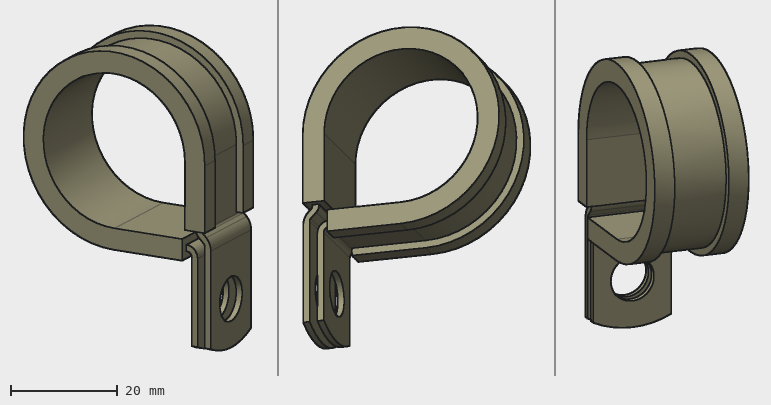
import cadquery as cq
import math

loop_radius = 19.35
cushion_thickness = 4.25
cushion_width = 18.95
upright_end_z = -13.25
floor_end_x = 14.5

strap_radius = 17.9
strap_thickness = 1.25
strap_width = 15.7
groove_width = 10.9

total_height = 57.35
tab_bottom_z = loop_radius - total_height
outer_tab_face_x = 19.75
jog_start_z = -13.75
jog_inside_radius = 0.7
jog_upper_radius = 1.7
jog_lower_radius = 3.45
inner_tab_face_x = 16.9
inner_bend_radius = 1.05
tab_end_rise = 1.8
hole_diameter = 8.65
hole_height = 9.5


def extrude_centred(profile, width):
    """Extrude an XZ profile equally to both sides of the XZ plane."""
    return profile.extrude(width / 2, both=True)


def open_loop(outer, inner, width):
    """Three-quarter ring with a straight vertical leg and a straight floor."""
    diagonal = math.sqrt(0.5)
    profile = (
        cq.Workplane("XZ")
        .moveTo(outer, upright_end_z)
        .lineTo(outer, 0)
        .threePointArc((-outer * diagonal, outer * diagonal), (0, -outer))
        .lineTo(floor_end_x, -outer)
        .lineTo(floor_end_x, -inner)
        .lineTo(0, -inner)
        .threePointArc((-inner * diagonal, inner * diagonal), (inner, 0))
        .lineTo(inner, upright_end_z)
        .close()
    )
    return extrude_centred(profile, width)


def outer_tab():
    """Tab under the vertical leg, stepped outward by a 45 degree jog."""
    jog = outer_tab_face_x - strap_radius
    corner_shift = strap_thickness * math.tan(math.radians(22.5))
    back_x = strap_radius - strap_thickness
    tab_back_x = outer_tab_face_x - strap_thickness
    back_jog_z = jog_start_z - corner_shift
    tab = extrude_centred(
        cq.Workplane("XZ").polyline([
            (strap_radius, upright_end_z),
            (strap_radius, jog_start_z),
            (outer_tab_face_x, jog_start_z - jog),
            (outer_tab_face_x, tab_bottom_z),
            (tab_back_x, tab_bottom_z),
            (tab_back_x, back_jog_z - jog),
            (back_x, back_jog_z),
            (back_x, upright_end_z),
        ]).close(),
        strap_width,
    )
    bend_corners = [
        (strap_radius, jog_start_z, jog_inside_radius),
        (back_x, back_jog_z, jog_upper_radius),
        (tab_back_x, back_jog_z - jog, jog_inside_radius),
        (outer_tab_face_x, jog_start_z - jog, jog_lower_radius),
    ]
    for x, z, radius in bend_corners:
        corner = cq.selectors.NearestToPointSelector((x, 0, z))
        tab = tab.edges(corner).fillet(radius)
    return tab


def inner_tab():
    """Tab at the end of the floor, turned down by a 90 degree bend."""
    back_x = inner_tab_face_x - strap_thickness
    outer_bend_radius = inner_bend_radius + strap_thickness
    bend_z = -strap_radius - inner_bend_radius
    profile = (
        cq.Workplane("XZ")
        .moveTo(floor_end_x, -strap_radius + strap_thickness)
        .lineTo(inner_tab_face_x - outer_bend_radius, -strap_radius + strap_thickness)
        .radiusArc((inner_tab_face_x, bend_z), outer_bend_radius)
        .lineTo(inner_tab_face_x, tab_bottom_z)
        .lineTo(back_x, tab_bottom_z)
        .lineTo(back_x, bend_z)
        .radiusArc((back_x - inner_bend_radius, -strap_radius), -inner_bend_radius)
        .lineTo(floor_end_x, -strap_radius)
        .close()
    )
    return extrude_centred(profile, strap_width)


def tab_outline():
    """Block along X with the rounded tab end and the bolt hole."""
    half_width = strap_width / 2
    shoulder_z = tab_bottom_z + tab_end_rise
    outline = (
        cq.Workplane("YZ")
        .moveTo(-half_width, 0)
        .lineTo(-half_width, shoulder_z)
        .threePointArc((0, tab_bottom_z), (half_width, shoulder_z))
        .lineTo(half_width, 0)
        .close()
        .extrude(total_height)
    )
    hole = (
        cq.Workplane("YZ")
        .center(0, tab_bottom_z + hole_height)
        .circle(hole_diameter / 2)
        .extrude(total_height)
    )
    return outline.cut(hole)


cushion = open_loop(loop_radius, loop_radius - cushion_thickness, cushion_width)
groove = open_loop(loop_radius, strap_radius, groove_width)
tabs = outer_tab().add(inner_tab()).combine().intersect(tab_outline())

result = cushion.cut(groove).union(tabs)